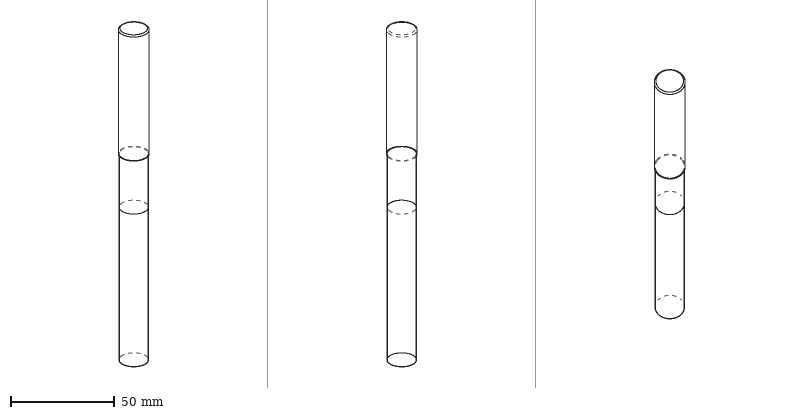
import cadquery as cq
import math

overall_length = 185.0
shank_diameter = 15.0
point_diameter = 14.25
neck_diameter = 14.15

shank_length = 69.0
cutting_length = 86.6
point_angle = 140.0
chamfer_size = 0.8

shank_radius = shank_diameter / 2
point_radius = point_diameter / 2
neck_radius = neck_diameter / 2
point_height = point_radius / math.tan(math.radians(point_angle / 2))
shank_bottom = overall_length - shank_length


def turn_about_z(profile):
    """Revolve a closed profile, given as (radius, height) points, about the Z axis."""
    outline = cq.Workplane("XZ").polyline(profile).close()
    return outline.revolve(360, (0, 0, 0), (0, 1, 0))


def make_cutting_part():
    """Cutting part with a conical point, tapering slightly toward the neck."""
    return turn_about_z([
        (0, 0),
        (point_radius, point_height),
        (neck_radius, cutting_length),
        (0, cutting_length),
    ])


def make_shank():
    """Cylindrical shank with a chamfered top and a narrower neck below it."""
    return turn_about_z([
        (0, cutting_length),
        (neck_radius, cutting_length),
        (neck_radius, shank_bottom),
        (shank_radius, shank_bottom),
        (shank_radius, overall_length - chamfer_size),
        (shank_radius - chamfer_size, overall_length),
        (0, overall_length),
    ])


cutting_part = make_cutting_part()
shank = make_shank()

result = cq.Compound.makeCompound([cutting_part.val(), shank.val()])